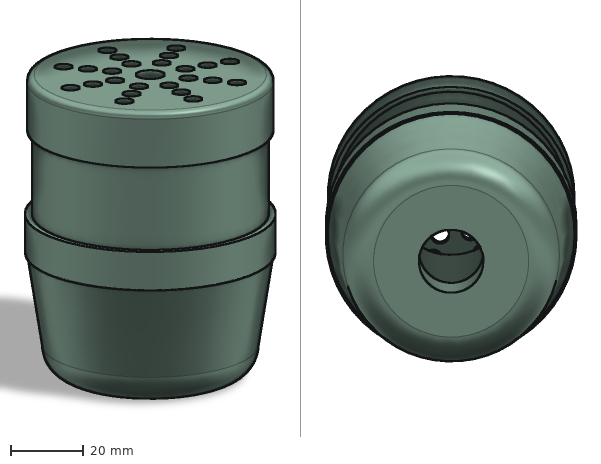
import cadquery as cq
import math

total_height = 87.2
cap_bottom = 71.1
collar_top = 46.65
collar_bottom = 35.4
taper_bottom = 8.55

collar_diameter = 69.7
taper_top_diameter = 68.5
taper_bottom_diameter = 60.2
cup_edge_radius = 8.55
cup_floor = 13.1
cup_outlet_diameter = 17.9

canister_diameter = 65.8
canister_lower_diameter = 60.5
canister_bore_diameter = 32.6
canister_floor_thickness = 2.6
canister_outlet_diameter = 22.6

cap_diameter = 68.5
cap_plate_thickness = 2.6
cap_edge_radius = 2.0
center_hole_diameter = 8.0
vent_diameter = 5.0
vent_row_count = 8
vents_per_row = 3
first_vent_radius = 11.1
vent_pitch = 7.02

plate_bottom = total_height - cap_plate_thickness


def cylinder(diameter, bottom, top):
    """Cylinder on the Z axis between two heights."""
    return cq.Workplane("XY").workplane(offset=bottom).circle(diameter / 2).extrude(top - bottom)


def make_cup():
    """Round-bottomed tapered cup that holds the lower part of the canister."""
    collar_radius = collar_diameter / 2
    taper_top_radius = taper_top_diameter / 2
    taper_bottom_radius = taper_bottom_diameter / 2
    base_radius = taper_bottom_radius - cup_edge_radius
    arc_offset = cup_edge_radius * math.sqrt(0.5)
    arc_middle = (base_radius + arc_offset, taper_bottom - arc_offset)
    outside = (
        cq.Workplane("XZ")
        .moveTo(0, taper_bottom - cup_edge_radius)
        .lineTo(base_radius, taper_bottom - cup_edge_radius)
        .threePointArc(arc_middle, (taper_bottom_radius, taper_bottom))
        .lineTo(taper_top_radius, collar_bottom)
        .lineTo(collar_radius, collar_bottom)
        .lineTo(collar_radius, collar_top)
        .lineTo(0, collar_top)
        .close()
        .revolve(360, (0, 0, 0), (0, 1, 0))
    )
    recess = cylinder(canister_lower_diameter, cup_floor, collar_top)
    outlet = cylinder(cup_outlet_diameter, 0, cup_floor)
    return outside.cut(recess).cut(outlet)


def make_canister():
    """Canister resting on the collar, with its narrower lower part in the cup."""
    lower = cylinder(canister_lower_diameter, cup_floor, collar_top)
    upper = cylinder(canister_diameter, collar_top, plate_bottom)
    bore_floor = cup_floor + canister_floor_thickness
    bore = cylinder(canister_bore_diameter, bore_floor, plate_bottom)
    outlet = cylinder(canister_outlet_diameter, cup_floor, bore_floor)
    return lower.union(upper).cut(bore).cut(outlet)


def make_cap():
    """Lid with a rounded rim, a central hole and radial rows of vents."""
    cap = cylinder(cap_diameter, cap_bottom, total_height)
    cap = cap.faces(">Z").edges().fillet(cap_edge_radius)
    cap = cap.cut(cylinder(canister_diameter, cap_bottom, plate_bottom))
    cap = cap.cut(cylinder(center_hole_diameter, plate_bottom, total_height))
    for ring in range(vents_per_row):
        vents = (
            cq.Workplane("XY")
            .workplane(offset=plate_bottom)
            .polarArray(first_vent_radius + ring * vent_pitch, 0, 360, vent_row_count)
            .circle(vent_diameter / 2)
            .extrude(cap_plate_thickness)
        )
        cap = cap.cut(vents)
    return cap


cup = make_cup()
canister = make_canister()
cap = make_cap()

result = cq.Compound.makeCompound([cup.solids().val(), canister.solids().val(), cap.solids().val()])